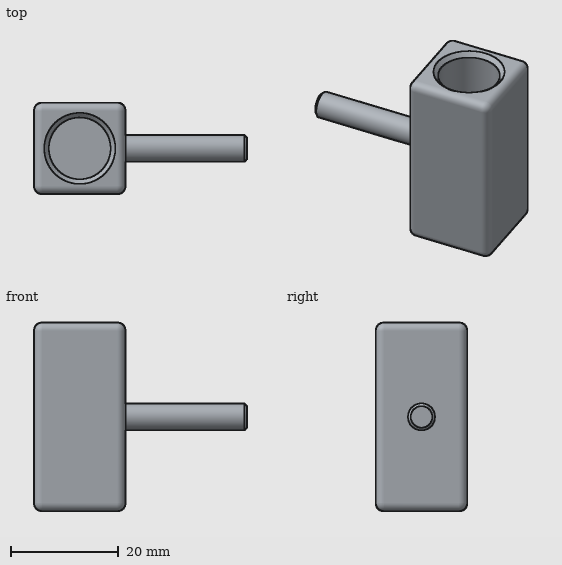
import cadquery as cq

block_width = 17.0
block_height = 35.0
block_fillet = 1.5

overall_length = 39.5
pin_diameter = 5.0
pin_end_chamfer = 0.5
pin_length = overall_length - block_width

bore_diameter = 11.45
bore_chamfer = 0.85
bore_depth = 30.02


def make_block():
    """Square block with every edge rounded."""
    return cq.Workplane("XY").box(block_width, block_width, block_height).edges().fillet(block_fillet)


def make_pin():
    """Pin along X with a chamfered free end."""
    pin = cq.Workplane("YZ", origin=(block_width / 2, 0, 0)).circle(pin_diameter / 2).extrude(pin_length)
    return pin.faces(">X").edges().chamfer(pin_end_chamfer)


def make_bore():
    """Cutter for the bore, flared at 45 degrees at its mouth."""
    radius = bore_diameter / 2
    mouth_radius = radius + bore_chamfer
    top = block_height / 2
    return (
        cq.Workplane("XZ")
        .moveTo(0, top)
        .lineTo(mouth_radius, top)
        .lineTo(radius, top - bore_chamfer)
        .lineTo(radius, top - bore_depth)
        .lineTo(0, top - bore_depth)
        .close()
        .revolve(360, (0, 0, 0), (0, 1, 0))
    )


result = make_block().union(make_pin()).cut(make_bore())